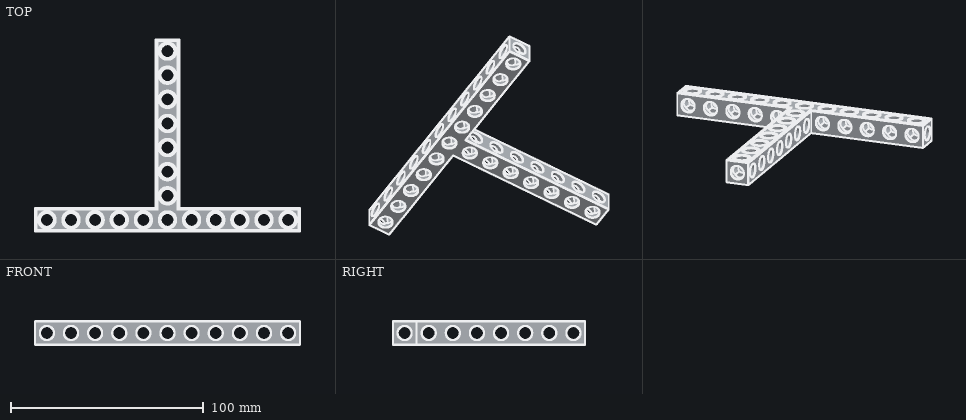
import cadquery as cq

pitch = 12.5
bar_holes = 11
stem_holes = 7

edge_chamfer = 0.3
hole_diameter = 7.0
hole_chamfer = edge_chamfer

frame_width = 1.1
ring_diameter = 9.2
recess_depth = 0.2

half = pitch / 2
bar_length = bar_holes * pitch
stem_length = stem_holes * pitch
stem_end = half + stem_length
hole_xs = [(i - (bar_holes - 1) / 2) * pitch for i in range(bar_holes)]
stem_ys = [(i + 1) * pitch for i in range(stem_holes)]
vertical_centers = [(x, 0) for x in hole_xs] + [(0, y) for y in stem_ys]


def tee_prism(bottom, height, inset=0):
    """T-shaped prism whose outline lies a given distance inside the beam's outline."""
    width = pitch - 2 * inset
    bar = (
        cq.Workplane("XY", origin=(0, 0, bottom))
        .rect(bar_length - 2 * inset, width)
        .extrude(height)
    )
    stem = (
        cq.Workplane("XY", origin=(0, (stem_end - inset) / 2, bottom))
        .rect(width, stem_end - inset)
        .extrude(height)
    )
    return bar.union(stem).clean()


def bore(start, direction, length):
    """Cutter for a through hole with a chamfered mouth at both ends."""
    begin = cq.Vector(*start)
    forward = cq.Vector(*direction)
    radius = hole_diameter / 2
    mouth_radius = radius + hole_chamfer
    barrel = cq.Solid.makeCylinder(radius, length, begin, forward)
    near_mouth = cq.Solid.makeCone(mouth_radius, radius, hole_chamfer, begin, forward)
    far_mouth = cq.Solid.makeCone(mouth_radius, radius, hole_chamfer, begin + forward * length, -forward)
    return barrel.fuse(near_mouth, far_mouth)


def top_recess():
    """Cutter for the recess between the frame and the hole rings."""
    bottom = half - recess_depth
    rings = (
        cq.Workplane("XY", origin=(0, 0, bottom))
        .pushPoints(vertical_centers)
        .circle(ring_diameter / 2)
        .extrude(recess_depth)
    )
    return tee_prism(bottom, recess_depth, frame_width).cut(rings)


def all_bores():
    """Cutters for the holes across the beams and along both beam axes."""
    along_z = [bore((x, y, -half), (0, 0, 1), pitch) for x, y in vertical_centers]
    across_bar = [bore((x, -half, 0), (0, 1, 0), pitch) for x in hole_xs if x != 0]
    across_stem = [bore((-half, y, 0), (1, 0, 0), pitch) for y in stem_ys]
    along_bar = bore((-bar_length / 2, 0, 0), (1, 0, 0), bar_length)
    along_stem = bore((0, -half, 0), (0, 1, 0), half + stem_end)
    return along_z + across_bar + across_stem + [along_bar, along_stem]


def beam_body():
    """Solid T-beam, chamfered on every edge except the two inner corners of the T."""
    body = tee_prism(-half, pitch)
    inner_corners = cq.selectors.BoxSelector((-pitch, 0, -pitch), (pitch, pitch, pitch))
    rims = body.edges("#Z")
    outer_corners = body.edges("|Z").edges(cq.selectors.InverseSelector(inner_corners))
    return rims.add(outer_corners).chamfer(edge_chamfer)


result = beam_body()
result = result.cut(top_recess())
for cutter in all_bores():
    result = result.cut(cq.Workplane(cutter))